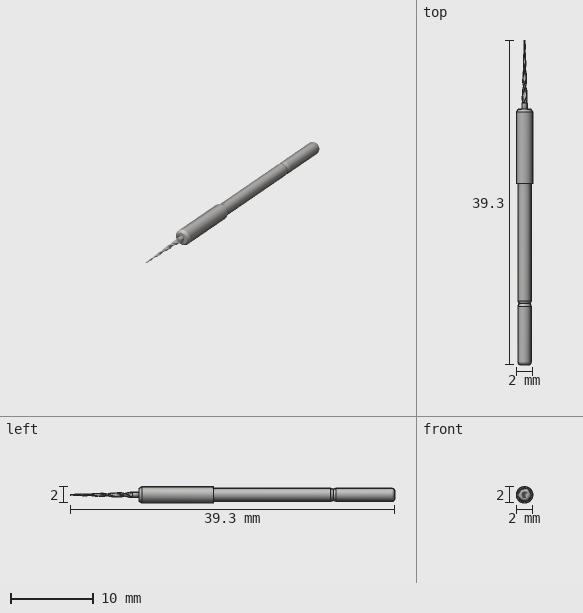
import cadquery as cq
import math

total_length = 39.3
sleeve_start = 21.95
sleeve_end = 31.0
collar_end = 31.75
groove_start = 7.1
groove_end = 7.8

shank_radius = 0.805
shank_rounding = 0.375
sleeve_radius = 1.002
sleeve_chamfer_length = 0.35
sleeve_chamfer_depth = 0.25
collar_radius = 0.335
groove_depth = 0.1

root_corner_radius = 0.335
tip_corner_radius = 0.065
thickness_ratio = 0.55
half_turn_pitch = 2.12
edge_steps = 40
root_overlap = 0.1

QUARTER_ARC = math.sqrt(0.5)


def turned_body():
    """Revolve the shank, sleeve and collar about Y."""
    shank_flat = shank_radius - shank_rounding
    sleeve_flat = sleeve_radius - sleeve_chamfer_depth
    sleeve_shoulder = sleeve_end - sleeve_chamfer_length
    groove_middle = (groove_start + groove_end) / 2
    shank_arc_mid = (
        shank_flat + shank_rounding * QUARTER_ARC,
        shank_rounding * (1 - QUARTER_ARC),
    )
    profile = (
        cq.Workplane("XY")
        .lineTo(shank_flat, 0)
        .threePointArc(shank_arc_mid, (shank_radius, shank_rounding))
        .lineTo(shank_radius, groove_start)
        .lineTo(shank_radius - groove_depth, groove_middle)
        .lineTo(shank_radius, groove_end)
        .lineTo(shank_radius, sleeve_start)
        .lineTo(sleeve_radius, sleeve_start)
        .lineTo(sleeve_radius, sleeve_shoulder)
        .lineTo(sleeve_flat, sleeve_end)
        .lineTo(collar_radius, sleeve_end)
        .lineTo(collar_radius, collar_end)
        .lineTo(0, collar_end)
        .close()
    )
    return profile.revolve(360, (0, 0, 0), (0, 1, 0))


def blade_edge(corner_angle):
    """Tapering helical edge that starts at corner_angle from the Z axis."""
    start = collar_end - root_overlap
    length = total_length - start
    points = []
    for i in range(edge_steps + 1):
        fraction = i / edge_steps
        radius = root_corner_radius + (tip_corner_radius - root_corner_radius) * fraction
        angle = corner_angle + math.pi * length * fraction / half_turn_pitch
        y = start + length * fraction
        points.append(cq.Vector(radius * math.sin(angle), y, radius * math.cos(angle)))
    return cq.Edge.makeSpline(points)


def twisted_blade():
    """Close four ruled flanks between helical edges with a root and a tip face."""
    half_angle = math.atan(thickness_ratio)
    corner_angles = (half_angle, math.pi - half_angle, math.pi + half_angle, -half_angle)
    edges = [blade_edge(angle) for angle in corner_angles]
    faces = []
    for i, edge in enumerate(edges):
        faces.append(cq.Face.makeRuledSurface(edges[i - 1], edge))
    root_corners = [edge.startPoint() for edge in edges]
    tip_corners = [edge.endPoint() for edge in edges]
    for corners in (root_corners, tip_corners):
        faces.append(cq.Face.makeFromWires(cq.Wire.makePolygon(corners, close=True)))
    blade = cq.Solid.makeSolid(cq.Shell.makeShell(faces))
    return blade.fix()


result = turned_body().union(cq.Workplane(twisted_blade())).translate((0, -total_length / 2, 0))